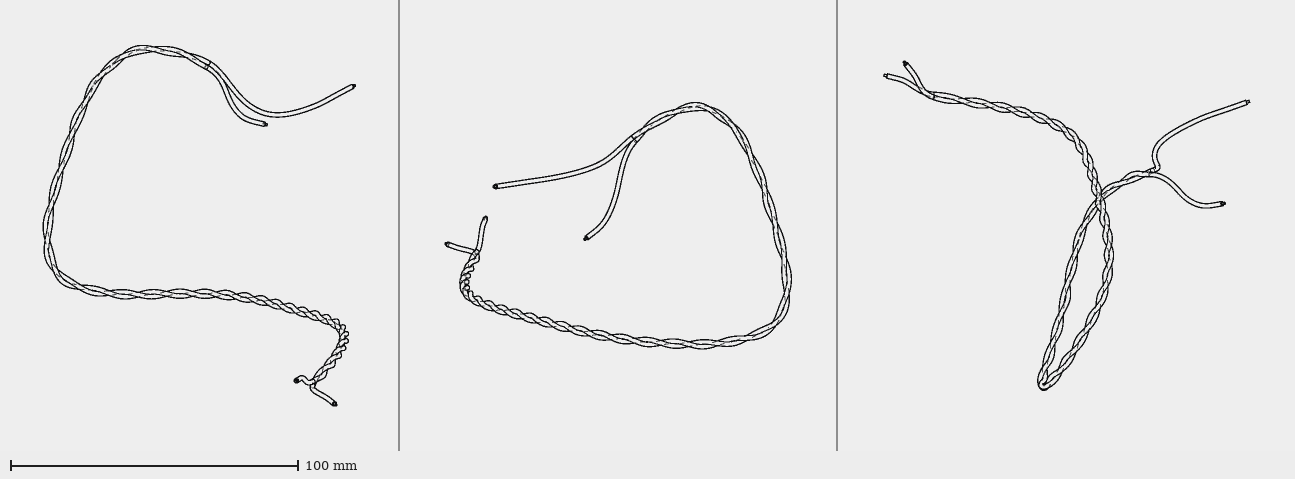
import cadquery as cq
import math


wire_diameter = 1.6
strand_gap = 0.05
tip_diameter = 0.8
tip_length = 1.1
wire_radius = wire_diameter / 2
strand_offset = (wire_diameter + strand_gap) / 2

pair_centreline = [
    (54.4, -49.5, -37.5),
    (54.1, -34.0, -37.6),
    (53.3, -20.7, -37.5),
    (51.5, -10.7, -37.6),
    (48.1, -2.0, -37.8),
    (42.7, 4.3, -38.0),
    (35.7, 8.7, -38.6),
    (26.8, 12.8, -39.3),
    (17.0, 17.0, -40.0),
    (8.4, 20.1, -40.6),
    (0.4, 22.2, -41.5),
    (-8.3, 23.1, -42.3),
    (-17.3, 22.5, -43.2),
    (-26.4, 20.8, -43.9),
    (-36.3, 18.1, -44.6),
    (-46.6, 15.0, -44.0),
    (-55.7, 12.1, -41.9),
    (-60.0, 10.9, -39.5),
    (-63.3, 10.3, -35.9),
    (-65.9, 10.6, -28.5),
    (-66.3, 12.4, -17.5),
    (-65.0, 14.0, -8.8),
    (-63.2, 15.5, -0.7),
    (-60.5, 17.1, 9.5),
    (-57.0, 18.5, 21.2),
    (-52.7, 19.8, 30.6),
    (-48.4, 21.3, 37.5),
    (-43.6, 23.2, 42.0),
    (-38.0, 26.1, 44.5),
    (-30.3, 30.8, 43.8),
    (-24.0, 35.5, 40.9),
    (-17.7, 40.5, 36.0),
]

twist_rates = [11.41, 26.56, 31.27, 25.09, 18.47, 16.92, 13.32, 12.44, 18.54, 10.52]
start_angle = 3.0
strand_samples = 200

rising_tail_points = [(54.2, -55.7, -34.2), (54.4, -60.0, -31.1), (54.4, -66.0, -29.8)]
sideways_tail_points = [(56.8, -54.0, -38.2), (61.8, -57.3, -38.3), (66.9, -61.7, -38.5)]
long_tail_points = [
    (-10.2, 41.3, 29.9),
    (-2.7, 38.9, 24.5),
    (4.3, 38.7, 21.7),
    (13.7, 45.3, 21.0),
    (17.7, 50.1, 21.6),
    (26.5, 66.0, 24.2),
]
short_tail_points = [
    (-14.4, 47.5, 26.0),
    (-13.3, 51.0, 19.0),
    (-12.0, 53.8, 14.1),
    (-9.2, 58.3, 9.4),
    (-5.2, 63.2, 6.4),
]


def twist_rate(fraction):
    """Twist rate at a fraction of the centreline, linear between stations."""
    place = fraction * (len(twist_rates) - 1)
    station = min(int(place), len(twist_rates) - 2)
    blend = place - station
    return twist_rates[station] * (1 - blend) + twist_rates[station + 1] * blend


def strand_path(phase):
    """Axis of one strand, winding around the centreline from the start angle plus phase."""
    centreline = cq.Edge.makeSpline([cq.Vector(*point) for point in pair_centreline])
    step = 1 / strand_samples
    step_length = centreline.Length() * step
    angle = start_angle + phase
    across = cq.Vector(0, 0, 1)
    points = []
    for index in range(strand_samples + 1):
        fraction = index * step
        tangent = centreline.tangentAt(fraction)
        across = (across - tangent * across.dot(tangent)).normalized()
        beside = tangent.cross(across)
        turn = math.radians(angle)
        offset = across * math.cos(turn) + beside * math.sin(turn)
        points.append(centreline.positionAt(fraction) + offset * strand_offset)
        angle += twist_rate(fraction + step / 2) * step_length
    return cq.Edge.makeSpline(points)


def round_bar(path, diameter):
    """Round bar swept along a path."""
    start_plane = cq.Plane(origin=path.positionAt(0), normal=path.tangentAt(0))
    return cq.Workplane(start_plane).circle(diameter / 2).sweep(cq.Workplane(obj=path)).val()


def make_tail(start, direction, points):
    """Insulated tail that continues a strand smoothly and ends in a stripped tip."""
    waypoints = [start] + [cq.Vector(*point) for point in points]
    end_direction = (waypoints[-1] - waypoints[-2]).normalized()
    path = cq.Edge.makeSpline(waypoints, tangents=[direction, end_direction])
    tip_root = waypoints[-1] - end_direction * wire_radius
    tip = cq.Solid.makeCylinder(tip_diameter / 2, wire_radius + tip_length, tip_root, end_direction)
    return round_bar(path, wire_diameter).fuse(tip)


strand_paths = [strand_path(phase) for phase in (0, 180)]
strands = [round_bar(path, wire_diameter) for path in strand_paths]

first_tails = [rising_tail_points, sideways_tail_points]
last_tails = [long_tail_points, short_tail_points]
tails = []
for path, first_points, last_points in zip(strand_paths, first_tails, last_tails):
    tails.append(make_tail(path.positionAt(0), path.tangentAt(0) * -1, first_points))
    tails.append(make_tail(path.positionAt(1), path.tangentAt(1), last_points))

result = cq.Compound.makeCompound([*strands, *tails])